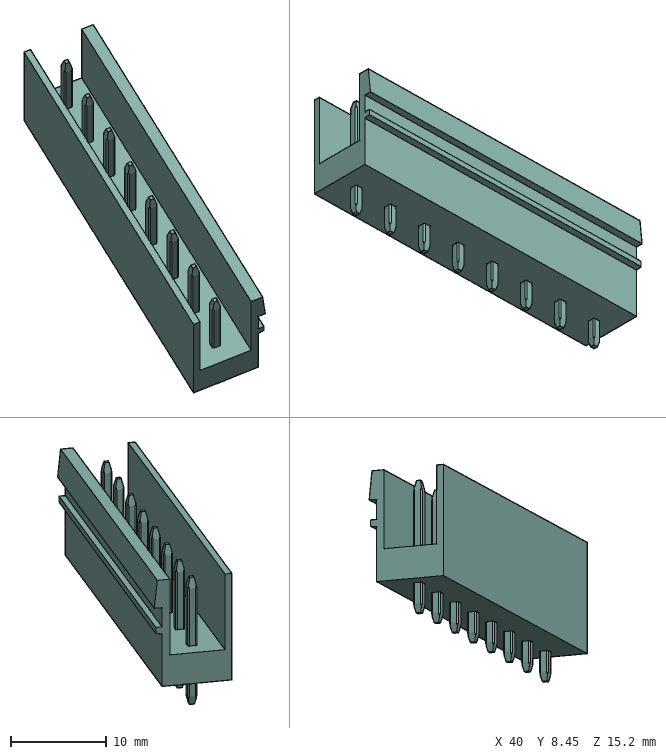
import cadquery as cq

PIN_COUNT = 8
PITCH = 5.0
LENGTH = PIN_COUNT * PITCH
HEIGHT = 12.0
FLOOR_THICKNESS = 3.5
CHANNEL_WIDTH = 6.0
FRONT_WALL = 0.75
BACK_WALL = 0.85
FRONT_Y = -CHANNEL_WIDTH / 2 - FRONT_WALL
BACK_Y = CHANNEL_WIDTH / 2 + BACK_WALL

LEDGE_REACH = 0.85
LEDGE_TOP_REACH = 0.5
LEDGE_BOTTOM_Z = 8.9

RIB_REACH = 0.7
RIB_TOP_Z = 6.7
RIB_TIP_HEIGHT = 0.7
RIB_ROOT_HEIGHT = 0.8

PIN_WIDTH = 1.0
PIN_BEVEL = 0.15
PIN_TOP_Z = 11.1
PIN_BOTTOM_Z = -3.2
TOP_TAPER_LENGTH = 1.15
TOP_TIP_WIDTH = 0.45
BOTTOM_TAPER_LENGTH = 0.95
BOTTOM_TIP_WIDTH = 0.5


def pin_positions():
    """X position of every pin, centred on the housing."""
    return [(i - (PIN_COUNT - 1) / 2) * PITCH for i in range(PIN_COUNT)]


def bar(bottom_z, top_z):
    """Square bar with bevelled long edges, centred on the Z axis."""
    return (
        cq.Workplane("XY", origin=(0, 0, bottom_z))
        .rect(PIN_WIDTH, PIN_WIDTH)
        .extrude(top_z - bottom_z)
        .edges("|Z")
        .chamfer(PIN_BEVEL)
    )


def taper_envelope(base_z, tip_z, tip_width):
    """Square pyramid frustum from the full pin width at base_z to the tip."""
    return (
        cq.Workplane("XY", origin=(0, 0, base_z))
        .rect(PIN_WIDTH, PIN_WIDTH)
        .workplane(offset=tip_z - base_z)
        .rect(tip_width, tip_width)
        .loft(ruled=True)
    )


def make_pin(x):
    """One pin: a bevelled bar whose two ends are trimmed to pyramid tapers."""
    top_base_z = PIN_TOP_Z - TOP_TAPER_LENGTH
    bottom_base_z = PIN_BOTTOM_Z + BOTTOM_TAPER_LENGTH
    shank = bar(bottom_base_z, top_base_z)
    top_tip = bar(top_base_z, PIN_TOP_Z).intersect(
        taper_envelope(top_base_z, PIN_TOP_Z, TOP_TIP_WIDTH)
    )
    bottom_tip = bar(PIN_BOTTOM_Z, bottom_base_z).intersect(
        taper_envelope(bottom_base_z, PIN_BOTTOM_Z, BOTTOM_TIP_WIDTH)
    )
    return shank.union(top_tip).union(bottom_tip).translate((x, 0, 0))


def make_housing():
    """U-shaped channel with ledge and rib, pierced by one fitted hole per pin."""
    profile = [
        (FRONT_Y, 0),
        (BACK_Y, 0),
        (BACK_Y, RIB_TOP_Z - RIB_ROOT_HEIGHT),
        (BACK_Y + RIB_REACH, RIB_TOP_Z - RIB_TIP_HEIGHT),
        (BACK_Y + RIB_REACH, RIB_TOP_Z),
        (BACK_Y, RIB_TOP_Z),
        (BACK_Y, LEDGE_BOTTOM_Z),
        (BACK_Y + LEDGE_REACH, LEDGE_BOTTOM_Z),
        (BACK_Y + LEDGE_TOP_REACH, HEIGHT),
        (CHANNEL_WIDTH / 2, HEIGHT),
        (CHANNEL_WIDTH / 2, FLOOR_THICKNESS),
        (-CHANNEL_WIDTH / 2, FLOOR_THICKNESS),
        (-CHANNEL_WIDTH / 2, HEIGHT),
        (FRONT_Y, HEIGHT),
    ]
    body = (
        cq.Workplane("YZ")
        .polyline(profile)
        .close()
        .extrude(LENGTH / 2, both=True)
    )
    for x in pin_positions():
        body = body.cut(bar(0, FLOOR_THICKNESS).translate((x, 0, 0)))
    return body


housing = make_housing()
pins = [make_pin(x) for x in pin_positions()]

result = cq.Compound.makeCompound([housing.val(), *[pin.val() for pin in pins]])